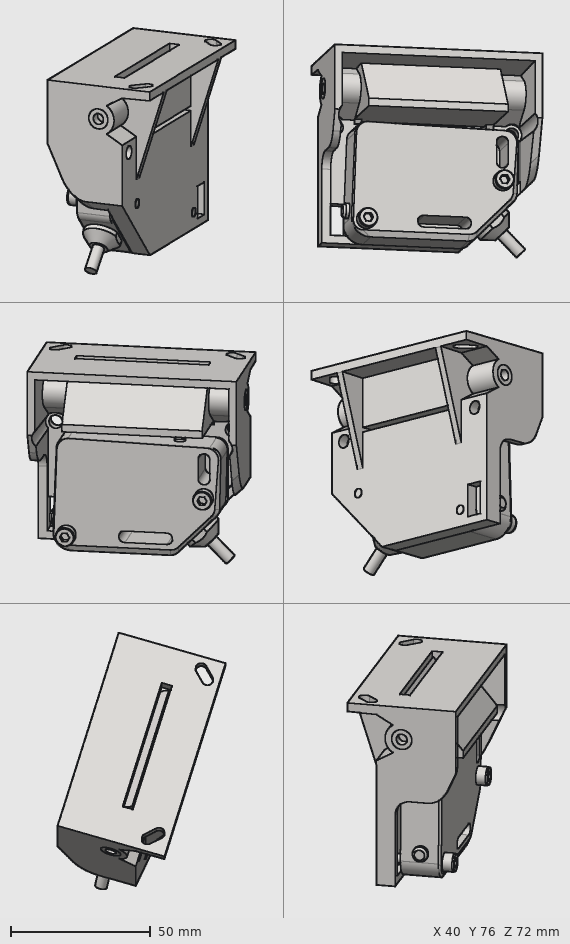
import cadquery as cq
import math

length = 76.0
height = 68.1
top_depth = 40.0
back_x = 29.25
rim_x = 22.35
floor_x = 24.9
plate_t = 3.3
front_wall_t = 2.7
wall_t = 3.3
front_roof_t = 2.9
roof_t = 4.1
rim_w = 3.0
slope_top_z = 44.45
slope_run = 0.46
corner_cut = 24.55
corner_blend_r = 7.6
far_wall_z = 32.5
far_wall_blend_r = 8.05
far_wall_inner_r = 5.5

pivot_x = 19.9
pivot_z = 55.85
boss_r = 6.15
nose_angle = math.radians(60)
boss_w = 12.55
notch_edge_top_z = 64.6
notch_rise = 3.5
rib_t = 2.65
rib_bevel = 1.0
rib_foot_z = 31.2
hood_front_x = 0.4
hood_bottom_z = 46.3
hood_lip_z = 49.0
hood_top_x = 13.3
hood_top_z = 64.4
gap_bottom_z = 44.5

light_slot_x = 20.2
light_slot_w = 3.9
light_slot_end = 13.7
light_slot_depth = 5.3
light_ridge_depth = 1.5
light_ridge_gap = 0.75
mount_slot_w = 4.1
mount_slot_len = 8.8
mount_slot_x = 33.9
mount_slot_y = 6.15
mount_hole_d = 4.9
mount_hole_y = 5.9
mount_hole_z = 42.95
trough_front_r = 4.4
trough_back_r = 3.65
window_w = 6.1
window_top_z = 15.0

sensor_front_x = 7.4
cover_back_x = 8.35
base_front_x = 21.35
sensor_corner_r = 4.2
heel_r = 6.85
cover_heel_r = 3.4
sensor_mid_x = (cover_back_x + base_front_x) / 2
sensor_cut = 23.9
middle_side_y = 7.6
base_side_y = 6.85
cover_cut = 25.85
cover_bottom_z = 2.3
cover_side_y = 9.3
sensor_slot_w = 4.25
upright_slot_y = 13.1
upright_slot_z = 32.8
upright_slot_len = 11.5
level_slot_y = 34.3
level_slot_z = 6.4
level_slot_len = 19.5

indicator_r = 2.0
indicator_y = 23.1
indicator_top_z = 41.95
plug_r = 2.8
plug_z = 10.5
plug_end_y = 70.15
plug_chamfer = 0.9

gland_r = 7.15
gland_ring_t = 1.7
gland_cone_len = 3.8
gland_tip_r = 3.4
cable_r = 2.2
cable_len = 15.2
gland_y_minus_z = 7.1

screw_places = [(13.1, 22.2), (63.0, 6.2)]
screw_head_r = 3.4
screw_head_h = 4.2
screw_bevel_len = 0.6
screw_bevel_w = 0.2
screw_shank_r = 1.7
screw_tip_out = 0.2
socket_flats = 3.05
socket_depth = 2.3
set_screw_r = 3.7
set_screw_socket_r = 2.0
set_screw_socket_depth = 3.8


def prism_along_y(points, y_start, y_end):
    """Extrude an outline of (x, z) points from y_start to y_end."""
    return (
        cq.Workplane("XZ", origin=(0, y_start, 0)).polyline(points).close().extrude(y_start - y_end)
    )


def prism_along_x(points, x_start, x_end):
    """Extrude an outline of (y, z) points from x_start to x_end."""
    return cq.Workplane("YZ", origin=(x_start, 0, 0)).polyline(points).close().extrude(x_end - x_start)


def rod_along_x(y, z, radius, x_start, x_end):
    return cq.Workplane("YZ", origin=(x_start, y, z)).circle(radius).extrude(x_end - x_start)


def rod_along_y(radius, y_start, y_end):
    """Cylinder on the pivot axis."""
    return cq.Workplane("XZ", origin=(pivot_x, y_start, pivot_z)).circle(radius).extrude(y_start - y_end)


def on_both_sides(shape):
    """A shape at the Y = 0 side together with its mirror image at the other side."""
    return shape.add(shape.mirror("XZ", (0, length / 2, 0)))


def bracket_block():
    """Solid side profile with the sloped front and the cut, rounded lower corner."""
    block = prism_along_y(
        [
            (0, height), (top_depth, height), (top_depth, height - plate_t), (back_x, notch_edge_top_z),
            (back_x, 0), (slope_top_z * slope_run, 0), (0, slope_top_z),
        ],
        0, length,
    )
    corner = prism_along_x([(0, 0), (0, corner_cut), (corner_cut, 0)], 0, back_x)
    blend_edge_y = corner_cut / 2
    blend_edge_x = (slope_top_z - corner_cut / 2) * slope_run
    blend_edge = cq.selectors.NearestToPointSelector((blend_edge_x, blend_edge_y, corner_cut / 2))
    back_plate = cq.Workplane().box(back_x - rim_x, length, height, centered=False).translate((rim_x, 0, 0))
    return block.cut(corner).edges(blend_edge).fillet(corner_blend_r).union(back_plate.cut(corner))


def far_wall_cut():
    """Space under the wall at Y = length, down to the rim."""
    slope_angle = math.atan(1 / slope_run)
    blend_top_z = far_wall_z + far_wall_blend_r * (1 - math.cos(slope_angle))
    blend_top_x = (slope_top_z - blend_top_z) * slope_run
    blend_end_x = blend_top_x + far_wall_blend_r * math.sin(slope_angle)
    half_angle = slope_angle / 2
    blend_mid = (
        blend_end_x - far_wall_blend_r * math.sin(half_angle),
        far_wall_z + far_wall_blend_r * (1 - math.cos(half_angle)),
    )
    inner_inset = far_wall_inner_r * (1 - math.cos(math.radians(45)))
    inner_mid = (rim_x - inner_inset, far_wall_z - inner_inset)
    return (
        cq.Workplane("XZ", origin=(0, length, 0))
        .moveTo(0, 0)
        .lineTo(0, slope_top_z)
        .lineTo(blend_top_x, blend_top_z)
        .threePointArc(blend_mid, (blend_end_x, far_wall_z))
        .lineTo(rim_x - far_wall_inner_r, far_wall_z)
        .threePointArc(inner_mid, (rim_x, far_wall_z - far_wall_inner_r))
        .lineTo(rim_x, 0)
        .close()
        .extrude(length / 2)
    )


def cavity():
    """Drafted space between the walls, with the deeper pocket inside the rim."""

    def section(x, wall, roof):
        corners = [(wall, 0), (length - wall, 0), (length - wall, height - roof), (wall, height - roof)]
        return cq.Wire.makePolygon([cq.Vector(x, y, z) for y, z in corners], close=True)

    opening = cq.Solid.makeLoft(
        [section(0, front_wall_t, front_roof_t), section(rim_x, wall_t, roof_t)], True
    )
    pocket_cut = corner_cut + rim_w * math.sqrt(2)
    pocket = prism_along_x(
        [
            (wall_t, pocket_cut - wall_t), (pocket_cut - rim_w, rim_w), (length - wall_t, rim_w),
            (length - wall_t, height - roof_t), (wall_t, height - roof_t),
        ],
        rim_x, floor_x,
    )
    return pocket.union(cq.Workplane(opening))


def pivot_noses():
    """Rounded wedges that carry the set screws inside the walls."""
    touch_x = pivot_x - boss_r * math.cos(nose_angle)
    touch_dz = boss_r * math.sin(nose_angle)
    end_dz = touch_dz + (floor_x - touch_x) / math.tan(nose_angle)
    nose = (
        cq.Workplane("XZ", origin=(0, front_wall_t, 0))
        .moveTo(floor_x, pivot_z + end_dz)
        .lineTo(touch_x, pivot_z + touch_dz)
        .threePointArc((pivot_x - boss_r, pivot_z), (touch_x, pivot_z - touch_dz))
        .lineTo(floor_x, pivot_z - end_dz)
        .close()
        .extrude(front_wall_t - boss_w)
    )
    return on_both_sides(nose)


def pivot_notches():
    """V notches behind the bosses, leaving the round back of each boss."""
    flank_z = notch_edge_top_z - notch_rise
    flank_x = pivot_x + math.sqrt(boss_r**2 - (flank_z - pivot_z) ** 2)
    mirror_flank_z = 2 * pivot_z - flank_z
    notch = (
        cq.Workplane("XZ")
        .moveTo(back_x, notch_edge_top_z)
        .lineTo(flank_x, flank_z)
        .threePointArc((pivot_x + boss_r, pivot_z), (flank_x, mirror_flank_z))
        .lineTo(back_x, mirror_flank_z - notch_rise)
        .close()
        .extrude(-boss_w)
    )
    return on_both_sides(notch)


def hood():
    """Sloped hood between the pivot bosses."""
    return prism_along_y(
        [
            (hood_front_x, hood_bottom_z), (hood_front_x, hood_lip_z), (hood_top_x, hood_top_z),
            (floor_x, hood_top_z), (floor_x, hood_bottom_z),
        ],
        boss_w, length - boss_w,
    )


def rear_ribs():
    """Triangular ribs under the overhang of the top plate, bevelled where they cross the gap."""
    gap_foot_x = floor_x + rib_bevel
    rib = prism_along_y(
        [
            (floor_x, notch_edge_top_z), (top_depth, height - plate_t), (back_x, rib_foot_z),
            (gap_foot_x, rib_foot_z), (gap_foot_x, gap_bottom_z), (floor_x, hood_bottom_z),
        ],
        boss_w, boss_w + rib_t,
    )
    return on_both_sides(rib)


def light_slot():
    """Blind slot in the top plate, less a sloped ridge that stands on its floor."""
    slot_floor = height - light_slot_depth
    slot = cq.Workplane().box(
        light_slot_w, length - 2 * light_slot_end, light_slot_depth, centered=False
    ).translate((light_slot_x, light_slot_end, slot_floor))
    crest_x = light_slot_x + light_slot_w - light_ridge_gap
    ridge_end = boss_w + rib_t
    ridge = prism_along_y(
        [(light_slot_x, slot_floor), (crest_x, slot_floor), (crest_x, height - light_ridge_depth)],
        ridge_end, length - ridge_end,
    )
    return slot.cut(ridge)


def mount_slots():
    """Diagonal slots through the top plate."""
    slot = (
        cq.Workplane("XY", origin=(mount_slot_x, mount_slot_y, height))
        .transformed(rotate=(0, 0, 45))
        .slot2D(mount_slot_len, mount_slot_w)
        .extrude(-roof_t)
    )
    return on_both_sides(slot)


def mount_holes():
    """Holes through the back plate, each with a tapered trough to the open front."""
    hole = rod_along_x(mount_hole_y, mount_hole_z, mount_hole_d / 2, floor_x, back_x)
    trough = cq.Solid.makeCone(
        trough_front_r, trough_back_r, floor_x, cq.Vector(0, mount_hole_y, mount_hole_z), cq.Vector(1, 0, 0)
    )
    return on_both_sides(hole.union(cq.Workplane(trough)))


def back_plate_openings():
    """Long gap below the hood and the window beside the sensor."""
    gap = cq.Workplane().box(
        back_x - floor_x, length - 2 * boss_w, hood_bottom_z - gap_bottom_z, centered=False
    ).translate((floor_x, boss_w, gap_bottom_z))
    window = cq.Workplane().box(
        back_x - floor_x, window_w, window_top_z - rim_w, centered=False
    ).translate((floor_x, length - wall_t - window_w, rim_w))
    return gap.add(window)


def cut_all(body, cutters):
    for cutter in cutters.vals():
        body = body.cut(cq.Workplane(cutter))
    return body


def join_all(body, additions):
    for addition in additions.vals():
        body = body.union(cq.Workplane(addition))
    return body


def make_bracket():
    bracket = bracket_block().cut(far_wall_cut()).cut(cavity())
    bracket = join_all(bracket, pivot_noses())
    bracket = bracket.union(hood())
    for cutters in (pivot_notches(), back_plate_openings()):
        bracket = cut_all(bracket, cutters)
    bracket = join_all(bracket, rear_ribs())
    for cutters in (light_slot(), mount_slots(), mount_holes()):
        bracket = cut_all(bracket, cutters)
    for y, z in screw_places:
        bracket = bracket.cut(rod_along_x(y, z, screw_shank_r, floor_x, back_x))
    return cut_all(bracket, on_both_sides(rod_along_y(set_screw_r, 0, boss_w)))


def case_outline(side_y):
    """Case outline as (y, z) points, ending at the heel."""
    return [(66.7, 42.1), (7.0, 40.7), (side_y, sensor_cut - side_y), (sensor_cut, 0), (68.4, 0)]


def cover_outline():
    """Outline of the cover face as (y, z) points, ending at the heel."""
    return [
        (66.35, 42.0), (7.5, 40.65), (cover_side_y, cover_cut - cover_side_y),
        (cover_cut - cover_bottom_z, cover_bottom_z), (67.8, cover_bottom_z),
    ]


def rounded_wire(outline, x, last_corner_r):
    """Outline with rounded corners, the last of them with its own radius."""
    corners = [cq.Vector(x, y, z) for y, z in outline]

    def vertex_at(wire, corner):
        return min(wire.Vertices(), key=lambda vertex: (vertex.Center() - corner).Length)

    wire = cq.Wire.makePolygon(corners, close=True)
    wire = wire.fillet2D(sensor_corner_r, [vertex_at(wire, corner) for corner in corners[:-1]])
    return wire.fillet2D(last_corner_r, [vertex_at(wire, corners[-1])])


def sensor_case():
    """Cover with bevelled edges, straight middle and a base that widens at low Y."""
    outer = rounded_wire(case_outline(middle_side_y), cover_back_x, heel_r)
    face = rounded_wire(cover_outline(), sensor_front_x, cover_heel_r)
    cover = cq.Solid.makeLoft([face, outer], True)
    middle = cq.Solid.extrudeLinear(outer, [], cq.Vector(base_front_x - cover_back_x, 0, 0))
    base_wire = rounded_wire(case_outline(base_side_y), base_front_x, heel_r)
    base = cq.Solid.extrudeLinear(base_wire, [], cq.Vector(rim_x - base_front_x, 0, 0))
    return cq.Workplane(middle).union(cq.Workplane(cover)).union(cq.Workplane(base))


def sensor_slots():
    slot_plane = cq.Workplane("YZ", origin=(sensor_front_x, 0, 0))
    depth = rim_x - sensor_front_x
    upright = (
        slot_plane.center(upright_slot_y, upright_slot_z)
        .slot2D(upright_slot_len, sensor_slot_w, 90).extrude(depth)
    )
    level = (
        slot_plane.center(level_slot_y, level_slot_z)
        .slot2D(level_slot_len, sensor_slot_w).extrude(depth)
    )
    return upright.add(level)


def cable():
    """Gland ring, cone and cable turned about the 45 degree gland axis."""
    face_y = (sensor_cut + gland_y_minus_z) / 2
    face_z = (sensor_cut - gland_y_minus_z) / 2
    axis_plane = cq.Plane((sensor_mid_x, face_y, face_z), xDir=(0, -1, 1), normal=(1, 0, 0))
    cone_end = gland_ring_t + gland_cone_len
    turned = (
        cq.Workplane(axis_plane)
        .polyline([
            (0, 0), (gland_r, 0), (gland_r, gland_ring_t), (gland_tip_r, cone_end),
            (cable_r, cone_end), (cable_r, cable_len), (0, cable_len),
        ])
        .close()
        .revolve(360, (0, 0, 0), (0, 1, 0))
    )
    flats = cq.Workplane().box(base_front_x - cover_back_x, length, height)
    return turned.intersect(flats.translate((sensor_mid_x, 0, 0)))


def sensor_knobs():
    """Indicator on the upper side and round plug on the side at high Y."""
    indicator = (
        cq.Workplane("XY", origin=(sensor_mid_x, indicator_y, indicator_top_z))
        .circle(indicator_r).extrude(-indicator_r)
    )
    plug = (
        cq.Workplane("XZ", origin=(sensor_mid_x, plug_end_y, plug_z))
        .circle(plug_r).extrude(plug_r).faces(">Y").chamfer(plug_chamfer)
    )
    return indicator.add(plug)


def make_sensor():
    sensor = cut_all(sensor_case(), sensor_slots())
    sensor = join_all(sensor.union(cable()), sensor_knobs())
    for y, z in screw_places:
        sensor = sensor.cut(rod_along_x(y, z, screw_shank_r, sensor_front_x, rim_x))
    return sensor


def make_screw(y, z):
    """Socket head screw through the sensor into the back plate."""
    head_x = sensor_front_x - screw_head_h
    head = rod_along_x(y, z, screw_head_r, head_x, sensor_front_x)
    head = head.faces("<X").chamfer(screw_bevel_len, screw_bevel_w)
    socket = (
        cq.Workplane("YZ", origin=(head_x, y, z))
        .polygon(6, socket_flats / math.cos(math.pi / 6)).extrude(socket_depth)
    )
    return head.union(rod_along_x(y, z, screw_shank_r, sensor_front_x, back_x + screw_tip_out)).cut(socket)


def make_set_screw(outer_y, inner_y):
    """Set screw filling a pivot boss, with a round socket at its outer end."""
    inward = math.copysign(1, inner_y - outer_y)
    socket = rod_along_y(set_screw_socket_r, outer_y, outer_y + inward * set_screw_socket_depth)
    return rod_along_y(set_screw_r, outer_y, inner_y).cut(socket)


bracket = make_bracket()
sensor = make_sensor()
screws = [make_screw(y, z) for y, z in screw_places]
set_screws = [make_set_screw(0, boss_w), make_set_screw(length, length - boss_w)]

result = cq.Compound.makeCompound(
    [bracket.val(), sensor.val()] + [fastener.val() for fastener in screws + set_screws]
)